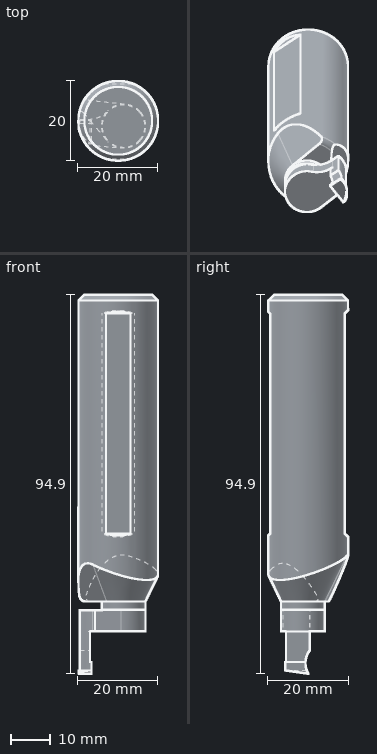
import cadquery as cq
import math

overall_length = 94.9
shank_radius = 10.01
top_chamfer = 1.5
bottom_fillet = 1.5
shank_bottom_z = 18.1

flat_bottom_z = 35.1
flat_top_z = 90.2
front_flat_depth = 0.5
back_flat_depth = 0.9

nose_x = 1.3
nose_y = -1.3
nose_radius = 5.5
nose_half_angle = 26.0
nose_direction = 152.0
flank_half_angle = 68.0
nose_height = 13.3

seat_bottom_z = 15.9
seat_chamfer = 0.2

arm_bottom_z = 10.6
arm_edge_angle = 264.0
arm_edge_end = (-5.8, -6.3)
arm_heel_x = -6.5
stem_outer_radius = 5.2
stem_left_x = -9.7
stem_right_x = -7.0
stem_arc_y = -1.0
rake_y = 0.4
hub_back_y = 2.1
hollow_middle = (-5.1, 0.8)
hollow_end_x = -7.6

head_top_z = 3.0
head_right_x = -6.6
lip_height = 0.9
lip_overhang = 0.3
end_slope_rise = 0.9
end_slope_run = 6.2
rake_hollow_top_z = 5.9
rake_hollow_mid_z = 2.7
rake_hollow_depth = 1.0
lip_edge_y = 0.1
clearance = 1.9


def polar(radius, angle):
    """Point at a radius and angle, in degrees, about the nose axis."""
    turn = math.radians(angle)
    return nose_x + radius * math.cos(turn), nose_y + radius * math.sin(turn)


def nose_section(radius):
    """Teardrop at a given cone radius: an arc whose two tangent flanks meet beyond the shank."""
    first = polar(radius, nose_direction - flank_half_angle)
    last = polar(radius, nose_direction + flank_half_angle)
    apex = polar(radius / math.cos(math.radians(flank_half_angle)), nose_direction)
    return (
        cq.Workplane("XY")
        .moveTo(*apex)
        .lineTo(*last)
        .threePointArc(polar(radius, nose_direction + 180), first)
        .close()
        .wire()
        .val()
    )


def nose_envelope():
    """Widening nose below, with a full-size block above it."""
    top_radius = nose_radius + nose_height * math.tan(math.radians(nose_half_angle))
    lower = nose_section(nose_radius).translate(cq.Vector(0, 0, shank_bottom_z))
    upper = nose_section(top_radius).translate(cq.Vector(0, 0, shank_bottom_z + nose_height))
    nose = cq.Workplane(cq.Solid.makeLoft([lower, upper], True))
    block = (
        cq.Workplane("XY", origin=(0, 0, shank_bottom_z + nose_height))
        .rect(4 * shank_radius, 4 * shank_radius)
        .extrude(overall_length)
    )
    return nose, block


def flat_cutter(side, depth):
    """Flat on the -Y (side = -1) or +Y (side = 1) flank of the shank."""
    floor_y = side * (shank_radius - depth)
    mouth_y = side * (shank_radius + clearance)
    spread = depth + clearance
    return (
        cq.Workplane("YZ")
        .polyline([
            (floor_y, flat_bottom_z),
            (mouth_y, flat_bottom_z - spread),
            (mouth_y, flat_top_z + spread),
            (floor_y, flat_top_z),
        ])
        .close()
        .extrude(shank_radius, both=True)
    )


def make_holder():
    blank = (
        cq.Workplane("XY", origin=(0, 0, shank_bottom_z))
        .circle(shank_radius)
        .extrude(overall_length - shank_bottom_z)
        .faces(">Z")
        .chamfer(top_chamfer)
        .faces("<Z")
        .edges()
        .fillet(bottom_fillet)
    )
    nose, block = nose_envelope()
    shank = blank.intersect(nose).union(blank.intersect(block))
    for side, depth in ((-1, front_flat_depth), (1, back_flat_depth)):
        shank = shank.cut(flat_cutter(side, depth))
    seat = (
        cq.Workplane("XY", origin=(nose_x, nose_y, seat_bottom_z))
        .circle(nose_radius)
        .extrude(shank_bottom_z - seat_bottom_z)
        .faces("<Z")
        .chamfer(seat_chamfer)
    )
    return shank.union(seat)


def outer_arc_heel(x):
    """Point at the -Y end of the curved outer side of the stem."""
    centre_x = stem_left_x + stem_outer_radius
    return x, stem_arc_y - math.sqrt(stem_outer_radius**2 - (x - centre_x) ** 2)


def outer_arc_toe(y):
    """Point on the curved outer side of the stem at its +Y end."""
    centre_x = stem_left_x + stem_outer_radius
    return centre_x - math.sqrt(stem_outer_radius**2 - (y - stem_arc_y) ** 2), y


def stem_section(right_x, bottom_z, top_z, overhang=0):
    """Length of stem with a curved outer side and a flat inner side."""
    sketch = (
        cq.Workplane("XY", origin=(0, 0, bottom_z))
        .moveTo(*outer_arc_toe(rake_y))
        .threePointArc((stem_left_x, stem_arc_y), outer_arc_heel(right_x))
        .lineTo(right_x, rake_y)
        .close()
    )
    if overhang:
        sketch = sketch.offset2D(overhang, "intersection")
    return sketch.extrude(top_z - bottom_z)


def make_arm():
    hub_back_x = nose_x - math.sqrt(nose_radius**2 - (hub_back_y - nose_y) ** 2)
    return (
        cq.Workplane("XY", origin=(0, 0, arm_bottom_z))
        .moveTo(*polar(nose_radius, arm_edge_angle))
        .lineTo(*arm_edge_end)
        .lineTo(*outer_arc_heel(arm_heel_x))
        .threePointArc((stem_left_x, stem_arc_y), outer_arc_toe(rake_y))
        .lineTo(hollow_end_x, rake_y)
        .threePointArc(hollow_middle, (hub_back_x, hub_back_y))
        .threePointArc(polar(nose_radius, 0), polar(nose_radius, arm_edge_angle))
        .close()
        .extrude(seat_bottom_z - arm_bottom_z)
    )


def rake_hollow():
    """Ground hollow in the +Y face of the stem, down to the cutting edge."""
    return (
        cq.Workplane("YZ")
        .moveTo(rake_y, rake_hollow_top_z)
        .threePointArc((rake_y - rake_hollow_depth, rake_hollow_mid_z), (lip_edge_y, 0))
        .lineTo(rake_y + clearance, 0)
        .lineTo(rake_y + clearance, rake_hollow_top_z)
        .close()
        .extrude(-2 * shank_radius)
    )


def end_relief():
    """Wedge below the stem, rising from the cutting edge towards -Y."""
    slope = end_slope_rise / end_slope_run
    far_y = -shank_radius
    return (
        cq.Workplane("YZ")
        .polyline([(lip_edge_y, 0), (far_y, 0), (far_y, slope * (lip_edge_y - far_y))])
        .close()
        .extrude(-2 * shank_radius)
    )


def make_insert():
    stem = stem_section(stem_right_x, 0, arm_bottom_z)
    head = stem_section(head_right_x, 0, head_top_z)
    lip = stem_section(stem_right_x, 0, lip_height, lip_overhang)
    stem = stem.union(head).union(lip).cut(rake_hollow()).cut(end_relief())
    return make_arm().union(stem)


holder = make_holder()
insert = make_insert()

result = cq.Compound.makeCompound([holder.solids().val(), insert.solids().val()])